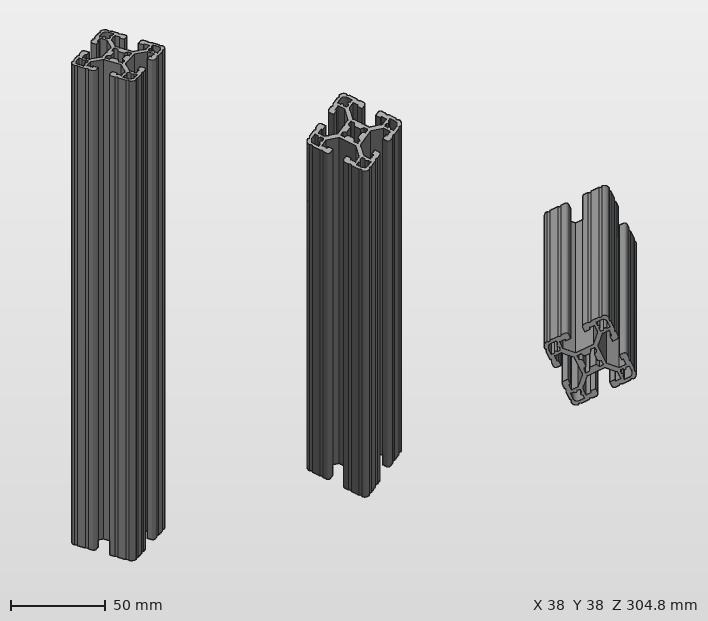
import cadquery as cq
import math

SIDE = 38.0
LENGTH = 304.8
HALF = SIDE / 2
CORNER_RADIUS = 3.0

SLOT_WIDTH = 8.2
LIP_TIP_THICKNESS = 4.0
LIP_TIP_LENGTH = 3.0
LIP_NECK_THICKNESS = 3.0
LIP_EDGE_RADIUS = 1.5
CAVITY_WIDTH = 20.5

WEB_THICKNESS = 2.6
CORE_HALF = 7.0
CORE_WALL = 1.8
RIB_HEIGHT = 1.8
RIB_TIP_WIDTH = 3.7
RIB_ROOT_WIDTH = 5.8

POCKET_OUTER_WALL = 1.8
POCKET_SLOT_WALL = 1.5
POCKET_OUTER_RADIUS = 2.5
POCKET_INNER_RADIUS = 0.5
PAD_WIDTH = 1.8
PAD_HEIGHT = 0.75

GROOVE_WIDTH = 1.8
GROOVE_DEPTH = 0.45
GROOVE_OFFSETS = (8.8, 15.2)

QUARTER_TURNS = (0, 90, 180, 270)


def prism(points):
    """Full-length bar with the given polygon as its cross-section."""
    return cq.Workplane("XY").polyline(points).close().extrude(LENGTH)


def arc_radius(chord, height):
    """Radius of the arc that spans a chord and rises to a height above it."""
    return ((chord / 2) ** 2 + height**2) / (2 * height)


def four_around(solid):
    """The solid together with its copies turned onto the other three sides."""
    combined = solid
    for angle in QUARTER_TURNS[1:]:
        combined = combined.union(solid.rotate((0, 0, 0), (0, 0, 1), angle))
    return combined


def blank():
    """Solid square bar with rounded corners."""
    return cq.Workplane("XY").rect(SIDE, SIDE).extrude(LENGTH).edges("|Z").fillet(CORNER_RADIUS)


def slot():
    """T-shaped void on the +Y side, between the core and two diagonal webs."""
    mouth = SLOT_WIDTH / 2
    tip_end = mouth + LIP_TIP_LENGTH
    tip_y = HALF - LIP_TIP_THICKNESS
    neck_y = HALF - LIP_NECK_THICKNESS
    web_shift = WEB_THICKNESS / math.sqrt(2)
    cavity_half = CAVITY_WIDTH / 2
    right_side = [
        (mouth, HALF),
        (mouth, tip_y),
        (tip_end, tip_y),
        (tip_end, neck_y),
        (cavity_half, neck_y),
        (cavity_half, cavity_half + web_shift),
        (CORE_HALF - web_shift, CORE_HALF),
    ]
    left_side = [(-x, y) for x, y in reversed(right_side)]
    return prism(right_side + left_side)


def core_hollow():
    """Square hollow with a tapered rib on the middle of each wall."""
    inner_half = CORE_HALF - CORE_WALL
    rib_tip = inner_half - RIB_HEIGHT
    rib = prism([
        (-RIB_ROOT_WIDTH / 2, inner_half),
        (-RIB_TIP_WIDTH / 2, rib_tip),
        (RIB_TIP_WIDTH / 2, rib_tip),
        (RIB_ROOT_WIDTH / 2, inner_half),
    ])
    hollow = cq.Workplane("XY").rect(2 * inner_half, 2 * inner_half).extrude(LENGTH)
    return hollow.cut(four_around(rib))


def corner_pocket():
    """Corner hollow with a small rounded pad on each of the two walls next to the slots."""
    near = CAVITY_WIDTH / 2 + POCKET_SLOT_WALL
    far = HALF - POCKET_OUTER_WALL
    size = far - near
    center = (near + far) / 2
    pocket = cq.Workplane("XY").center(center, center).rect(size, size).extrude(LENGTH)
    pocket = pocket.edges("|Z and >X and >Y").fillet(POCKET_OUTER_RADIUS)
    pocket = pocket.edges("|Z and <X and <Y").fillet(POCKET_INNER_RADIUS)
    pad_radius = arc_radius(PAD_WIDTH, PAD_HEIGHT)
    pad_center = near + PAD_HEIGHT - pad_radius
    pads = cq.Workplane("XY").pushPoints([(pad_center, center), (center, pad_center)])
    return pocket.cut(pads.circle(pad_radius).extrude(LENGTH))


def face_grooves():
    """Round-bottomed grooves on the +Y face, mirrored about the slot."""
    radius = arc_radius(GROOVE_WIDTH, GROOVE_DEPTH)
    center_y = HALF - GROOVE_DEPTH + radius
    centers = [(side * offset, center_y) for offset in GROOVE_OFFSETS for side in (-1, 1)]
    return cq.Workplane("XY").pushPoints(centers).circle(radius).extrude(LENGTH)


def round_lip_edges(body):
    """Round the outer edges of the slot mouths."""
    mouth = SLOT_WIDTH / 2
    for side in (-1, 1):
        for face in (-HALF, HALF):
            for x, y in ((side * mouth, face), (face, side * mouth)):
                edge = body.edges(cq.selectors.NearestToPointSelector((x, y, LENGTH / 2)))
                body = edge.fillet(LIP_EDGE_RADIUS)
    return body


result = blank().cut(four_around(slot())).cut(core_hollow()).cut(four_around(corner_pocket()))
result = round_lip_edges(result).cut(four_around(face_grooves()))